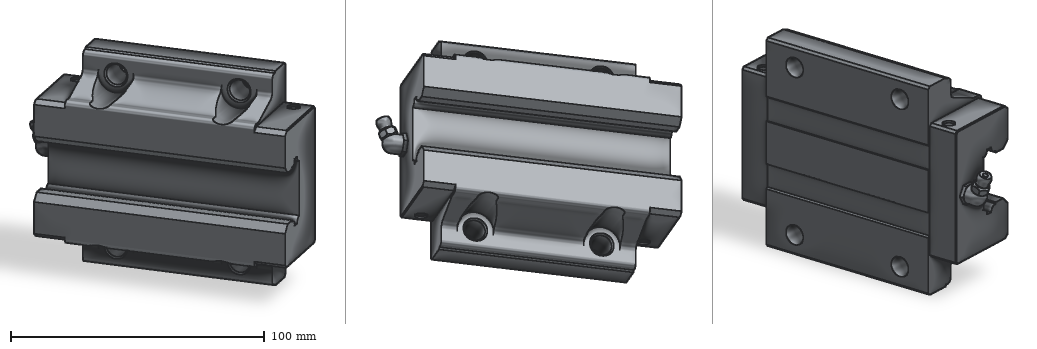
import cadquery as cq
import math


overall_length = 117.6
carriage_depth = 35.0
carriage_width = 90.0
carriage_length = 106.0
block_length = 80.0

flange_depth = 14.8
flange_back_chamfer = 1.0
flange_step_depth = 11.4
flange_step = 0.7
flange_edge_radius = 2.0
body_half_width = 29.9
slope_end_depth = 29.8
slope_angle = 20.0
slope_radius = 3.0
body_edge_radius = 2.0

relief_inner = 9.2
relief_outer = 20.0
relief_depth = 0.7

cap_half_width = 28.8
cap_back_depth = 1.0
cap_back_chamfer = 1.0
cap_front_chamfer_depth = 2.1
cap_front_chamfer_width = 1.8
cap_end_chamfer = 0.41

channel_floor_depth = 19.0
lip_half_gap = 11.4
lip_radius = 2.4
race_half_gap = 14.0
race_side_height = 0.7
race_side_slant = 0.18
race_start_depth = 21.5
race_end_depth = 24.1
jaw_step_depth = 27.2
jaw_half_gap = 10.7
jaw_chamfer = 3.0

hole_pitch_x = 52.0
hole_pitch_z = 72.2
hole_diameter = 8.5
hole_chamfer = 0.7
spotface_diameter = 14.9

plug_diameter = 5.2
plug_recess = 0.9
plug_end_distance = 7.3
plug_depth = 6.0

nipple_depth = 8.0
base_hex_flats = 8.0
base_hex_height = 1.6
elbow_diameter = 8.0
elbow_reach = 5.2
arm_tilt = 22.0
arm_hex_flats = 6.7
arm_hex_start = 2.4
arm_hex_end = 6.4
arm_hex_chamfer = 1.0
neck_diameter = 5.2
neck_end = 7.2
head_diameter = 6.0
head_start = 8.2
tip_diameter = 4.9
port_diameter = 2.1
port_recess = 0.18

half_width = carriage_width / 2
cap_face_x = -carriage_length / 2


def prism(points, length):
    """Extrude (depth, z) points along X, centred on X = 0."""
    outline = [(-depth, z) for depth, z in points]
    return cq.Workplane("YZ").polyline(outline).close().extrude(length / 2, both=True)


def symmetric(points):
    """Complete an outline given for Z > 0 with its mirror image."""
    return points + [(depth, -z) for depth, z in reversed(points)]


def round_edges(body, depth, z, radius):
    """Round the pair of edges along X that start at this depth and at +z and -z."""
    for side in (1, -1):
        body = body.edges("|X").edges(cq.NearestToPointSelector((0, -depth, side * z))).fillet(radius)
    return body


def make_block():
    """Flanged centre block with its sloping sides."""
    lower_flange = half_width - flange_step
    slope_rise = (slope_end_depth - flange_depth) * math.tan(math.radians(slope_angle))
    slope_start = body_half_width + slope_rise
    block = prism(symmetric([
        (0, half_width - flange_back_chamfer),
        (flange_back_chamfer, half_width),
        (flange_step_depth, half_width),
        (flange_step_depth + flange_step, lower_flange),
        (flange_depth, lower_flange),
        (flange_depth, slope_start),
        (slope_end_depth, body_half_width),
        (carriage_depth, body_half_width),
    ]), block_length)
    block = round_edges(block, flange_depth, lower_flange, flange_edge_radius)
    block = round_edges(block, flange_depth, slope_start, slope_radius)
    block = round_edges(block, slope_end_depth, body_half_width, slope_radius)
    return round_edges(block, carriage_depth, body_half_width, body_edge_radius)


def make_reliefs():
    """Shallow grooves along the mounting face, each with a slanted outer side."""
    groove = prism([
        (0, relief_inner),
        (relief_depth, relief_inner),
        (relief_depth, relief_outer - relief_depth),
        (0, relief_outer),
    ], block_length)
    return groove.union(groove.mirror("XY"))


def make_caps():
    """Core that runs through the block and forms both end caps."""
    caps = prism(symmetric([
        (cap_back_depth, cap_half_width - cap_back_chamfer),
        (cap_back_depth + cap_back_chamfer, cap_half_width),
        (carriage_depth - cap_front_chamfer_depth, cap_half_width),
        (carriage_depth, cap_half_width - cap_front_chamfer_width),
    ]), carriage_length)
    back_region = cq.selectors.BoxSelector(
        (-carriage_length, cap_front_chamfer_depth - carriage_depth, -carriage_width),
        (carriage_length, 0, carriage_width),
    )
    return caps.faces("<X or >X").edges(back_region).chamfer(cap_end_chamfer)


def make_channel_half():
    """Upper half of the rail channel, with one ball race between two rounded lips."""
    race_mouth = race_half_gap - race_side_height
    lip_run = math.sqrt(lip_radius**2 - (lip_radius - (race_mouth - lip_half_gap)) ** 2)
    rear_lip_end = race_start_depth - race_side_slant
    front_lip_start = race_end_depth + race_side_slant
    return (
        cq.Workplane("YZ")
        .moveTo(-channel_floor_depth, 0)
        .lineTo(-channel_floor_depth, lip_half_gap)
        .lineTo(-(rear_lip_end - lip_run), lip_half_gap)
        .radiusArc((-rear_lip_end, race_mouth), lip_radius)
        .lineTo(-race_start_depth, race_half_gap)
        .lineTo(-race_end_depth, race_half_gap)
        .lineTo(-front_lip_start, race_mouth)
        .radiusArc((-(front_lip_start + lip_run), lip_half_gap), lip_radius)
        .lineTo(-jaw_step_depth, lip_half_gap)
        .lineTo(-jaw_step_depth, jaw_half_gap)
        .lineTo(-(carriage_depth - jaw_chamfer), jaw_half_gap)
        .lineTo(-carriage_depth, jaw_half_gap + jaw_chamfer)
        .lineTo(-carriage_depth, 0)
        .close()
        .extrude(carriage_length / 2, both=True)
    )


def make_mounting_hole(x, z):
    """Through hole with a chamfered mouth, and the spotface that clears the sloping side."""
    axis_start = cq.Workplane("XZ", origin=(x, 0, z))
    radius = hole_diameter / 2
    mouth = cq.Solid.makeCone(
        radius, radius + hole_chamfer, hole_chamfer,
        cq.Vector(x, hole_chamfer - flange_depth, z), cq.Vector(0, -1, 0),
    )
    spotface = (
        axis_start.workplane(offset=flange_depth)
        .circle(spotface_diameter / 2)
        .extrude(carriage_depth - flange_depth)
    )
    return axis_start.circle(radius).extrude(flange_depth).union(spotface).union(cq.Workplane(mouth))


def make_plug_recesses():
    """Shallow round recesses in the +Z side of both end caps."""
    plug_x = carriage_length / 2 - plug_end_distance
    return (
        cq.Workplane("XY", origin=(0, -plug_depth, cap_half_width - plug_recess))
        .pushPoints([(-plug_x, 0), (plug_x, 0)])
        .circle(plug_diameter / 2)
        .extrude(plug_recess)
    )


def make_carriage():
    """Block, end caps and rail channel as one body."""
    channel_half = make_channel_half()
    plug_recesses = make_plug_recesses()
    carriage = make_block().cut(make_reliefs()).union(make_caps())
    for cutter in (channel_half, plug_recesses):
        carriage = carriage.cut(cutter).cut(cutter.mirror("XY"))
    for x in (-hole_pitch_x / 2, hole_pitch_x / 2):
        for z in (-hole_pitch_z / 2, hole_pitch_z / 2):
            carriage = carriage.cut(make_mounting_hole(x, z))
    return carriage


def make_hexagon(plane, flats, start, end):
    """Hexagonal prism along the normal of a plane, between two heights."""
    across_corners = flats / math.cos(math.radians(30))
    return cq.Workplane(plane).workplane(offset=start).polygon(6, across_corners).extrude(end - start)


def make_nipple():
    """Angled grease nipple: hexagon base, ball elbow and tilted arm."""
    elbow_x = cap_face_x - elbow_reach
    elbow_center = (elbow_x, -nipple_depth, 0)
    base_plane = cq.Plane((cap_face_x, -nipple_depth, 0), (0, 1, 0), (-1, 0, 0))
    base = make_hexagon(base_plane, base_hex_flats, 0, base_hex_height)
    elbow = cq.Workplane(base_plane).circle(elbow_diameter / 2).extrude(elbow_reach)
    ball = cq.Workplane(base_plane).workplane(offset=elbow_reach).sphere(elbow_diameter / 2)

    tilt = math.radians(arm_tilt)
    arm_axis = (-math.sin(tilt), 0, math.cos(tilt))
    across_axis = (math.cos(tilt), 0, math.sin(tilt))
    hex_plane = cq.Plane(elbow_center, across_axis, arm_axis)
    arm_hex = make_hexagon(hex_plane, arm_hex_flats, arm_hex_start, arm_hex_end)

    corner_radius = arm_hex_flats / math.sqrt(3)
    profile_plane = cq.Plane(elbow_center, across_axis, (0, -1, 0))
    bevel_envelope = (
        cq.Workplane(profile_plane)
        .polyline([
            (0, arm_hex_start),
            (corner_radius - arm_hex_chamfer, arm_hex_start),
            (corner_radius, arm_hex_start + arm_hex_chamfer),
            (corner_radius, arm_hex_end - arm_hex_chamfer),
            (corner_radius - arm_hex_chamfer, arm_hex_end),
            (0, arm_hex_end),
        ])
        .close()
        .revolve(360, (0, 0), (0, 1))
    )

    head_radius = head_diameter / 2
    tip_radius = tip_diameter / 2
    head_reach = overall_length - carriage_length - elbow_reach
    head_center = (head_reach - head_radius) / math.sin(tilt)
    tip_height = head_center + math.sqrt(head_radius**2 - tip_radius**2)
    head_start_radius = math.sqrt(head_radius**2 - (head_center - head_start) ** 2)
    port_radius = port_diameter / 2
    port_ball_radius = (port_radius**2 + port_recess**2) / (2 * port_recess)
    head = (
        cq.Workplane(profile_plane)
        .moveTo(0, arm_hex_start)
        .lineTo(neck_diameter / 2, arm_hex_start)
        .lineTo(neck_diameter / 2, neck_end)
        .lineTo(head_start_radius, head_start)
        .threePointArc((head_radius, head_center), (tip_radius, tip_height))
        .lineTo(port_radius, tip_height)
        .lineTo(port_radius, tip_height - port_recess)
        .radiusArc((0, tip_height), -port_ball_radius)
        .close()
        .revolve(360, (0, 0), (0, 1))
    )
    return base.union(elbow).union(ball).union(arm_hex.intersect(bevel_envelope)).union(head)


carriage = make_carriage()
grease_nipple = make_nipple()
result = cq.Compound.makeCompound([carriage.val(), grease_nipple.val()])